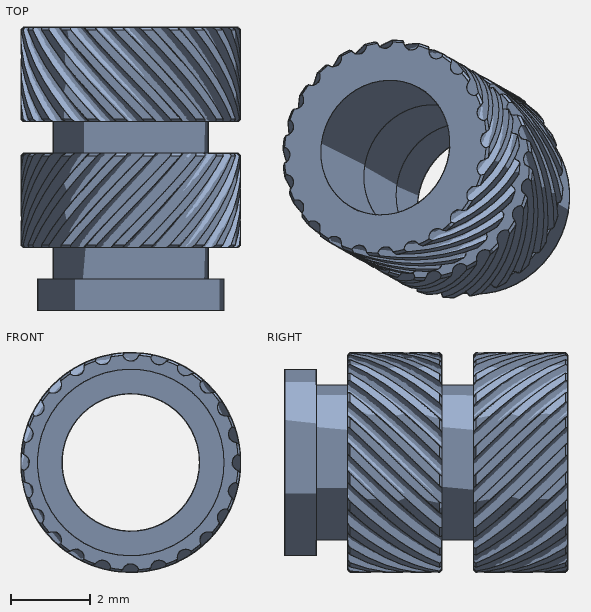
import cadquery as cq


total_length = 7.14
segment_count = 9
segment = total_length / segment_count
foot_length = 2 * segment
flange_length = 0.8
front_neck_length = foot_length - flange_length
rear_neck_length = segment
knurl_length = 3 * segment

knurl_diameter = 5.54
flange_diameter = 4.7
neck_diameter = 3.91
bore_diameter = 3.455

groove_count = 24
groove_pitch = 360 / groove_count
groove_radius = 0.215
knurl_twist = 48.0
knurl_chamfer = 0.065
groove_overrun = 0.07


def tube(diameter, length, start=0.0):
    """Plain tube with the common bore, rising along Z from the start height."""
    return (
        cq.Workplane("XY")
        .workplane(offset=start)
        .circle(diameter / 2)
        .circle(bore_diameter / 2)
        .extrude(length)
    )


def groove_cutters():
    """Helical rods centred on the knurl surface; one crosses the lower end face at angle zero."""
    overrun_twist = knurl_twist * groove_overrun / knurl_length
    rod = (
        cq.Workplane("XY")
        .workplane(offset=-groove_overrun)
        .pushPoints([(knurl_diameter / 2, 0)])
        .circle(groove_radius)
        .twistExtrude(knurl_length + 2 * groove_overrun, knurl_twist + 2 * overrun_twist)
        .val()
    )
    axis_start = cq.Vector(0, 0, 0)
    axis_end = cq.Vector(0, 0, 1)
    return [
        rod.rotate(axis_start, axis_end, index * groove_pitch - overrun_twist)
        for index in range(groove_count)
    ]


def knurled_ring():
    """Ring on the XY plane with chamfered rims and helical grooves."""
    ring = tube(knurl_diameter, knurl_length)
    outer_rims = ring.edges(cq.selectors.RadiusNthSelector(-1))
    chamfered_ring = outer_rims.chamfer(knurl_chamfer)
    return cq.Workplane(chamfered_ring.val().cut(*groove_cutters()))


def lay_along_y(body, start):
    """Solid of a body turned from Z onto Y, with its base plane moved to the given Y."""
    return body.solids().rotate((0, 0, 0), (1, 0, 0), -90).translate((0, start, 0))


def make_foot():
    """Flange with the front neck behind it."""
    flange = tube(flange_diameter, flange_length)
    front_neck = tube(neck_diameter, front_neck_length, flange_length)
    return lay_along_y(flange.union(front_neck), 0)


def make_front_ring(ring):
    """First knurled ring, standing on the front neck."""
    return lay_along_y(ring, foot_length)


def make_end_piece(ring):
    """Rear neck and second ring: the mirror image of a ring with a neck on top."""
    rear_neck = tube(neck_diameter, rear_neck_length, knurl_length)
    return lay_along_y(ring.union(rear_neck).mirror("XY"), total_length)


ring_shape = knurled_ring()
foot = make_foot()
front_ring = make_front_ring(ring_shape)
end_piece = make_end_piece(ring_shape)

result = cq.Compound.makeCompound([foot.val(), front_ring.val(), end_piece.val()])